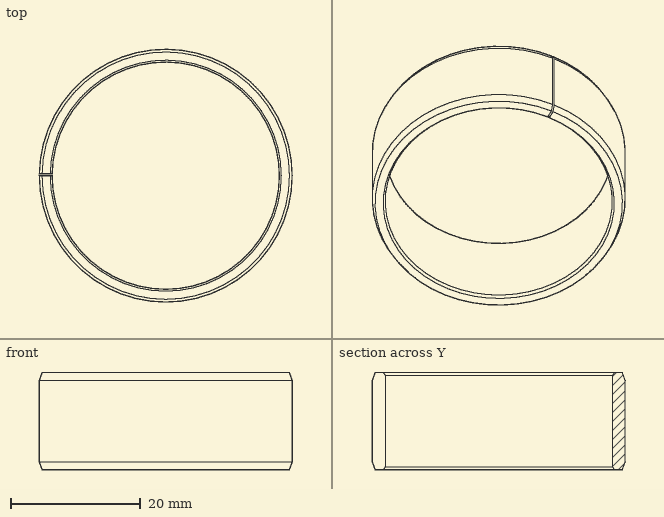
import cadquery as cq
import math

outer_diameter = 39.0
bore_diameter = 35.0
height = 15.0
outer_chamfer_height = 1.2
outer_chamfer_angle = 20.0
inner_chamfer_depth = 0.3
inner_chamfer_height = 0.45
slit_width = 0.27

outer_radius = outer_diameter / 2
bore_radius = bore_diameter / 2
half_height = height / 2
outer_chamfer_depth = outer_chamfer_height * math.tan(math.radians(outer_chamfer_angle))


def bush_body():
    """Revolve the wall section, chamfered on all four edges."""
    section = (
        cq.Workplane("XZ")
        .moveTo(bore_radius + inner_chamfer_depth, -half_height)
        .lineTo(outer_radius - outer_chamfer_depth, -half_height)
        .lineTo(outer_radius, -half_height + outer_chamfer_height)
        .lineTo(outer_radius, half_height - outer_chamfer_height)
        .lineTo(outer_radius - outer_chamfer_depth, half_height)
        .lineTo(bore_radius + inner_chamfer_depth, half_height)
        .lineTo(bore_radius, half_height - inner_chamfer_height)
        .lineTo(bore_radius, -half_height + inner_chamfer_height)
        .close()
    )
    return section.revolve(360, (0, 0, 0), (0, 1, 0))


def slit_cutter():
    """Block that splits the wall on the -X side over the full height, with one face at Y = 0."""
    return cq.Workplane("XY").box(
        outer_radius, slit_width, height, centered=(False, False, True)
    ).translate((-outer_radius, 0, 0))


result = bush_body().cut(slit_cutter())